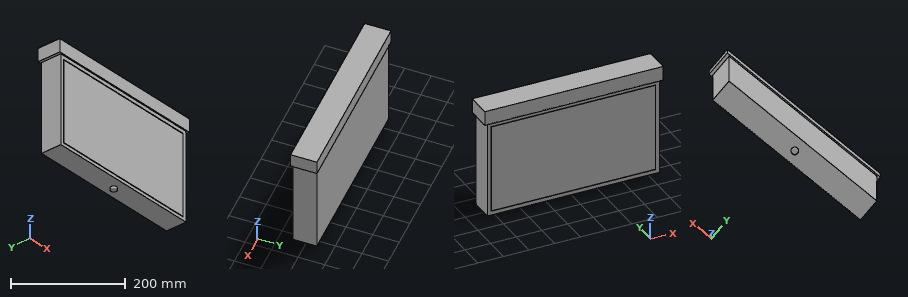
import cadquery as cq

CAP_WIDTH = 348.0
CAP_DEPTH = 50.0
CAP_HEIGHT = 28.0

BODY_SIDE_SETBACK = 6.0
BODY_FACE_SETBACK = 2.5
BODY_WIDTH = CAP_WIDTH - 2 * BODY_SIDE_SETBACK
BODY_DEPTH = CAP_DEPTH - 2 * BODY_FACE_SETBACK
BODY_HEIGHT = 187.0

FRAME_WIDTH = 8.0
PANEL_WIDTH = BODY_WIDTH - 2 * FRAME_WIDTH
PANEL_HEIGHT = BODY_HEIGHT - 2 * FRAME_WIDTH
PANEL_RECESS = 1.0

OVERALL_HEIGHT = 220.5
KNOB_DIAMETER = 13.0
KNOB_HEIGHT = OVERALL_HEIGHT - CAP_HEIGHT - BODY_HEIGHT
KNOB_RIM_RADIUS = 2.0


def make_cap():
    """Plain block whose underside lies on the top of the body."""
    return (
        cq.Workplane("XY")
        .workplane(offset=BODY_HEIGHT)
        .rect(CAP_WIDTH, CAP_DEPTH)
        .extrude(CAP_HEIGHT)
    )


def make_body():
    """Block standing on Z = 0."""
    return cq.Workplane("XY").rect(BODY_WIDTH, BODY_DEPTH).extrude(BODY_HEIGHT)


def make_panel_recess():
    """Shallow rectangular pocket that leaves an even frame on the -Y face."""
    return (
        cq.Workplane("XY")
        .box(PANEL_WIDTH, PANEL_RECESS, PANEL_HEIGHT, centered=(True, False, True))
        .translate((0, -BODY_DEPTH / 2, BODY_HEIGHT / 2))
    )


def make_knob():
    """Round knob below Z = 0 with a rounded lower rim."""
    return (
        cq.Workplane("XY")
        .circle(KNOB_DIAMETER / 2)
        .extrude(-KNOB_HEIGHT)
        .faces("<Z")
        .edges()
        .fillet(KNOB_RIM_RADIUS)
    )


result = make_body().cut(make_panel_recess()).union(make_cap()).union(make_knob())